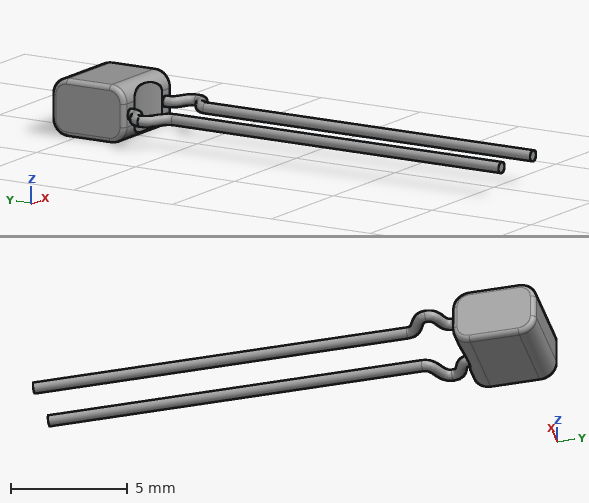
import cadquery as cq


total_length = 22.35
housing_width = 3.85
housing_length = 3.69
housing_height = 2.55
corner_radius = 0.75
side_edge_radius = 0.22

relief_half_width = 1.12
relief_depth = 0.22

lead_span = 5.07
wire_diameter = 0.5
exit_x = 1.4
stub_length = 0.07
straight_x = 1.27
kink_x = (lead_span - wire_diameter) / 2
kink_y = -1.05
straight_y = -2.12
upper_pull = 0.63
lower_pull = 0.58
lead_end_y = housing_length - total_length


def make_housing():
    """Rounded block with its end faces softened and the lead face relieved."""
    block = (
        cq.Workplane("XY")
        .box(housing_width, housing_length, housing_height, centered=(True, False, True))
        .edges("|X")
        .fillet(corner_radius)
        .faces("<X or >X")
        .edges()
        .fillet(side_edge_radius)
    )
    relief = (
        cq.Workplane("XY")
        .moveTo(-relief_half_width, 0)
        .threePointArc((0, relief_depth), (relief_half_width, 0))
        .close()
        .extrude(housing_height / 2, both=True)
    )
    return block.cut(relief)


def add_jog(path, start, end, pull):
    """Extend a path by one smooth S-shaped jog that begins and ends parallel to Y.

    The pull is how far each end's control point lies along Y; more pull makes a steeper slant.
    """
    start_control = (start[0], start[1] - pull)
    end_control = (end[0], end[1] + pull)
    return path.bezier([start, start_control, end_control, end])


def make_lead(side):
    """Round wire on one side (-1 or +1): out of the housing, around the kink, then straight."""
    exit_point = (side * exit_x, 0)
    bend_point = (side * exit_x, -stub_length)
    kink_point = (side * kink_x, kink_y)
    straight_point = (side * straight_x, straight_y)

    path = cq.Workplane("XY").moveTo(*exit_point).lineTo(*bend_point)
    path = add_jog(path, bend_point, kink_point, upper_pull)
    path = add_jog(path, kink_point, straight_point, lower_pull)
    path = path.lineTo(straight_point[0], lead_end_y)
    return cq.Workplane("XZ", origin=(*exit_point, 0)).circle(wire_diameter / 2).sweep(path)


housing = make_housing()
leads = [make_lead(side) for side in (-1, 1)]

result = cq.Compound.makeCompound([housing.val(), *[lead.val() for lead in leads]])